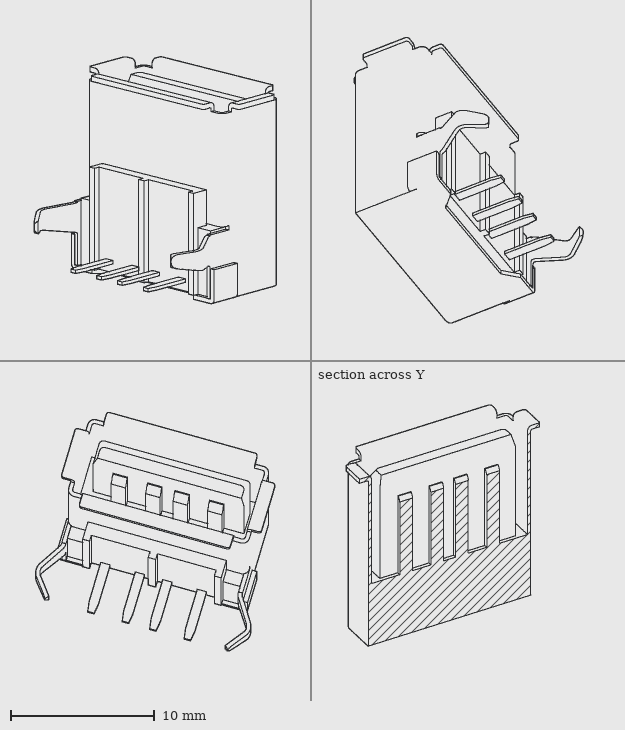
import cadquery as cq
import math


SHELL_WIDTH = 13.11
SHELL_DEPTH = 5.75
SHELL_TOP = 13.45
SHEET = 0.3
CORNER_RADIUS = 0.5
BASE_THICKNESS = 0.34
FRONT_WALL_BOTTOM = 5.27
NOTCH_DEPTH = 0.65
HALF_SHELL = SHELL_WIDTH / 2
HALF_INSIDE = HALF_SHELL - SHEET

LIP_TOP = 14.1
LIP_THICKNESS = 0.37
LIP_BEND = 0.08
LIP_CORNER = 0.2
LONG_LIP = 10.95
SHORT_LIP = 3.67
SHORT_LIP_FRONT = 0.95
FRONT_LIP_REACH = 0.76
BACK_LIP_REACH = 0.59
SIDE_LIP_REACH = 0.7

CHEEK_FRONT = -1.23
CHEEK_TOP = 4.98
WING_FRONT = -1.17
WING_BACK = 1.18
WING_TOP = 2.52
WING_BEND = 0.37
BASE_NOTCH_WIDTH = 9.8
BASE_NOTCH_SLANT = 1.01
BASE_NOTCH_BACK = -0.15

HOUSING_FRONT = -0.87
HOUSING_BACK = 5.24
HOUSING_TOP = 5.15
PANEL_WIDTH = 10.05
PANEL_TOP = 7.71
RIB_FRONT = -1.3
SIDE_RIB_WIDTH = 0.5
CENTRE_RIB_WIDTH = 0.55

TONGUE_WIDTH = 10.95
TONGUE_FRONT = 2.86
TONGUE_BACK = 4.68
TONGUE_SHOULDER = 12.5
TONGUE_TOP = 13.5
TONGUE_SIDE_TAPER = 0.25
TONGUE_FRONT_TAPER = 0.23
TONGUE_BACK_TAPER = 0.7
TONGUE_CORNER = 0.31

PIN_POSITIONS = (-3.5, -1.0, 1.0, 3.5)
CONTACT_WIDTH = 1.04
CONTACT_BULGE = 0.51
CONTACT_TOP = 11.54
CONTACT_FLEX = 10.96
CONTACT_CREST = 10.5
CONTACT_CURVE = 0.93
CONTACT_EDGE = 0.06
PIN_WIDTH = 0.68
PIN_TIP_WIDTH = 0.47
PIN_BOTTOM = 0.98
PIN_THICKNESS = 0.25
PIN_TAPER_START = -3.8
PIN_END = -4.53

CLIP_MIDDLE = 3.83
CLIP_ROOT_HALF_HEIGHT = 1.09
CLIP_TIP_HALF_HEIGHT = 0.47
CLIP_ROOT_Y = -1.37
CLIP_ELBOW_X = 7.96
CLIP_ELBOW_Y = -3.51
CLIP_TIP_X = 6.62
CLIP_TIP_Y = -5.21
CLIP_ELBOW_BEND = 0.81
CLIP_ROOT_BEND = 0.31
CLIP_TIP_ROUNDING = 0.44
CLIP_ROOT_ROUNDING = 0.15


def block(x0, x1, y0, y1, z0, z1):
    """Box between two opposite corners."""
    return cq.Workplane("XY").box(x1 - x0, y1 - y0, z1 - z0, centered=False).translate((x0, y0, z0))


def mirrored(body):
    """Body together with its mirror image across the plane of symmetry."""
    return body.union(body.mirror("YZ"))


def make_shell():
    outer = block(-HALF_SHELL, HALF_SHELL, 0, SHELL_DEPTH, 0, SHELL_TOP)
    outer = outer.edges("|Z or (>Y and <Z)").fillet(CORNER_RADIUS)
    inner = block(-HALF_INSIDE, HALF_INSIDE, SHEET, SHELL_DEPTH - SHEET, BASE_THICKNESS, LIP_TOP)
    inner = inner.edges("|Z or (>Y and <Z)").fillet(CORNER_RADIUS - SHEET)
    opening = block(-HALF_SHELL, HALF_SHELL, 0, NOTCH_DEPTH, 0, FRONT_WALL_BOTTOM)
    return outer.cut(inner).cut(opening)


def make_lip(length, reach):
    """Lip along X that leaves a wall with outside at Y = 0 and flares toward -Y."""
    lip_bottom = LIP_TOP - LIP_THICKNESS
    outer_bend = SHEET + LIP_BEND
    diagonal = math.sqrt(0.5)
    profile = (
        cq.Workplane("YZ")
        .moveTo(SHEET, SHELL_TOP - SHEET)
        .lineTo(SHEET, LIP_TOP - outer_bend)
        .threePointArc(
            (-LIP_BEND + outer_bend * diagonal, LIP_TOP - outer_bend * (1 - diagonal)),
            (-LIP_BEND, LIP_TOP),
        )
        .lineTo(-reach, LIP_TOP)
        .lineTo(-reach, lip_bottom)
        .lineTo(-LIP_BEND, lip_bottom)
        .threePointArc(
            (-LIP_BEND * (1 - diagonal), lip_bottom - LIP_BEND * (1 - diagonal)),
            (0, lip_bottom - LIP_BEND),
        )
        .lineTo(0, SHELL_TOP - SHEET)
        .close()
    )
    return profile.extrude(length / 2, both=True).edges("|Z and <Y").fillet(LIP_CORNER)


def make_lips():
    front = make_lip(LONG_LIP, FRONT_LIP_REACH)
    back = make_lip(LONG_LIP, BACK_LIP_REACH).rotate((0, 0, 0), (0, 0, 1), 180)
    left = make_lip(SHORT_LIP, SIDE_LIP_REACH).rotate((0, 0, 0), (0, 0, 1), -90)
    left = left.translate((-HALF_SHELL, SHORT_LIP_FRONT + SHORT_LIP / 2, 0))
    return front.union(back.translate((0, SHELL_DEPTH, 0))).union(mirrored(left))


def make_base():
    """Base sheet with a wing folded up on each side."""
    half_width = HALF_SHELL + BASE_THICKNESS
    tray = block(-half_width, half_width, WING_FRONT, WING_BACK, 0, WING_TOP)
    tray = tray.edges("|Y and <Z").fillet(WING_BEND)
    tray = tray.cut(block(-HALF_SHELL, HALF_SHELL, WING_FRONT, WING_BACK, BASE_THICKNESS, WING_TOP))
    half_notch = BASE_NOTCH_WIDTH / 2
    half_floor = half_notch - BASE_NOTCH_SLANT
    notch = (
        cq.Workplane("XY")
        .polyline([
            (-half_notch, WING_FRONT),
            (-half_floor, BASE_NOTCH_BACK),
            (half_floor, BASE_NOTCH_BACK),
            (half_notch, WING_FRONT),
        ])
        .close()
        .extrude(BASE_THICKNESS)
    )
    return tray.cut(notch)


def make_housing():
    body = block(-HALF_INSIDE, HALF_INSIDE, HOUSING_FRONT, HOUSING_BACK, BASE_THICKNESS, HOUSING_TOP)
    half_panel = PANEL_WIDTH / 2
    panel = block(-half_panel, half_panel, HOUSING_FRONT, 0, BASE_THICKNESS, PANEL_TOP)
    side_rib = block(-half_panel, SIDE_RIB_WIDTH - half_panel, RIB_FRONT, 0, BASE_THICKNESS, PANEL_TOP)
    half_rib = CENTRE_RIB_WIDTH / 2
    centre_rib = block(-half_rib, half_rib, RIB_FRONT, 0, BASE_THICKNESS, PANEL_TOP)
    return body.union(panel).union(mirrored(side_rib)).union(centre_rib)


def tongue_section(height, side_inset, front_inset, back_inset):
    """Tongue outline at a height, with its two back corners rounded."""
    half_width = TONGUE_WIDTH / 2 - side_inset
    front = TONGUE_FRONT + front_inset
    back = TONGUE_BACK - back_inset
    arc_inset = TONGUE_CORNER * (1 - math.sqrt(0.5))
    return (
        cq.Workplane("XY", origin=(0, 0, height))
        .moveTo(-half_width, front)
        .lineTo(half_width, front)
        .lineTo(half_width, back - TONGUE_CORNER)
        .threePointArc((half_width - arc_inset, back - arc_inset), (half_width - TONGUE_CORNER, back))
        .lineTo(TONGUE_CORNER - half_width, back)
        .threePointArc((arc_inset - half_width, back - arc_inset), (-half_width, back - TONGUE_CORNER))
        .close()
    )


def make_tongue():
    shaft = tongue_section(HOUSING_TOP, 0, 0, 0).extrude(TONGUE_SHOULDER - HOUSING_TOP)
    shoulder = tongue_section(TONGUE_SHOULDER, 0, 0, 0).val()
    crown = tongue_section(TONGUE_TOP, TONGUE_SIDE_TAPER, TONGUE_FRONT_TAPER, TONGUE_BACK_TAPER).val()
    return shaft.union(cq.Workplane(cq.Solid.makeLoft([shoulder, crown], True)))


def make_contact(x):
    """Contact bowed out of the tongue's front face, and its pin leaving the housing below."""
    edge = TONGUE_FRONT - CONTACT_EDGE
    crest = TONGUE_FRONT - CONTACT_BULGE
    flex = (edge + crest) / 2
    bow = (
        cq.Workplane("YZ", origin=(x, 0, 0))
        .moveTo(TONGUE_FRONT, CONTACT_TOP)
        .lineTo(edge, CONTACT_TOP)
        .radiusArc((flex, CONTACT_FLEX), -CONTACT_CURVE)
        .radiusArc((crest, CONTACT_CREST), CONTACT_CURVE)
        .lineTo(crest, HOUSING_TOP)
        .lineTo(TONGUE_FRONT, HOUSING_TOP)
        .close()
        .extrude(CONTACT_WIDTH / 2, both=True)
    )
    half_width = PIN_WIDTH / 2
    half_tip = PIN_TIP_WIDTH / 2
    pin = (
        cq.Workplane("XY", origin=(x, 0, PIN_BOTTOM))
        .polyline([
            (-half_width, 0),
            (-half_width, PIN_TAPER_START),
            (-half_tip, PIN_END),
            (half_tip, PIN_END),
            (half_width, PIN_TAPER_START),
            (half_width, 0),
        ])
        .close()
        .extrude(PIN_THICKNESS)
    )
    return bow.union(pin)


def clip_strip():
    """Right side wall and bent clip at full height, before their outline is trimmed."""
    out_angle = math.atan2(CLIP_ELBOW_Y - CLIP_ROOT_Y, CLIP_ELBOW_X - HALF_SHELL)
    tip_angle = math.atan2(CLIP_TIP_Y - CLIP_ELBOW_Y, CLIP_TIP_X - CLIP_ELBOW_X)
    root_shift = SHEET * math.tan((out_angle + math.pi / 2) / 2)
    elbow_mitre = SHEET / math.cos((out_angle - tip_angle) / 2)
    elbow_angle = (out_angle + tip_angle - math.pi) / 2
    root = (HALF_SHELL, CLIP_ROOT_Y)
    elbow = (CLIP_ELBOW_X, CLIP_ELBOW_Y)
    tip = (CLIP_TIP_X, CLIP_TIP_Y)
    inner_tip = (CLIP_TIP_X + SHEET * math.sin(tip_angle), CLIP_TIP_Y - SHEET * math.cos(tip_angle))
    inner_elbow = (
        CLIP_ELBOW_X + elbow_mitre * math.cos(elbow_angle),
        CLIP_ELBOW_Y + elbow_mitre * math.sin(elbow_angle),
    )
    inner_root = (HALF_INSIDE, CLIP_ROOT_Y - root_shift)
    strip = (
        cq.Workplane("XY", origin=(0, 0, BASE_THICKNESS))
        .moveTo(HALF_SHELL, NOTCH_DEPTH)
        .polyline([root, elbow, tip, inner_tip, inner_elbow, inner_root], includeCurrent=True)
        .lineTo(HALF_INSIDE, NOTCH_DEPTH)
        .close()
        .extrude(CHEEK_TOP - BASE_THICKNESS)
    )
    bends = (
        (root, CLIP_ROOT_BEND),
        (inner_root, CLIP_ROOT_BEND + SHEET),
        (elbow, CLIP_ELBOW_BEND),
        (inner_elbow, CLIP_ELBOW_BEND - SHEET),
    )
    for corner, radius in bends:
        edge = cq.selectors.NearestToPointSelector((*corner, (BASE_THICKNESS + CHEEK_TOP) / 2))
        strip = strip.edges("|Z").edges(edge).fillet(radius)
    return strip


def make_cheek():
    """Right side wall ahead of the shell, continued by the tapered board clip."""
    wall_outline = block(0, CLIP_ELBOW_X, CHEEK_FRONT, NOTCH_DEPTH, BASE_THICKNESS, CHEEK_TOP)
    clip_outline = (
        cq.Workplane("YZ")
        .polyline([
            (CHEEK_FRONT, CLIP_MIDDLE + CLIP_ROOT_HALF_HEIGHT),
            (CLIP_TIP_Y, CLIP_MIDDLE + CLIP_TIP_HALF_HEIGHT),
            (CLIP_TIP_Y, CLIP_MIDDLE - CLIP_TIP_HALF_HEIGHT),
            (CHEEK_FRONT, CLIP_MIDDLE - CLIP_ROOT_HALF_HEIGHT),
        ])
        .close()
        .extrude(CLIP_ELBOW_X)
        .edges("|X and <Y")
        .fillet(CLIP_TIP_ROUNDING)
    )
    lower_root = (CLIP_ELBOW_X / 2, CHEEK_FRONT, CLIP_MIDDLE - CLIP_ROOT_HALF_HEIGHT)
    outline = (
        wall_outline.union(clip_outline)
        .edges(cq.selectors.NearestToPointSelector(lower_root))
        .fillet(CLIP_ROOT_ROUNDING)
    )
    return clip_strip().intersect(outline)


result = (
    make_shell()
    .union(make_lips())
    .union(make_base())
    .union(mirrored(make_cheek()))
    .union(make_housing())
    .union(make_tongue())
)
for position in PIN_POSITIONS:
    result = result.union(make_contact(position))